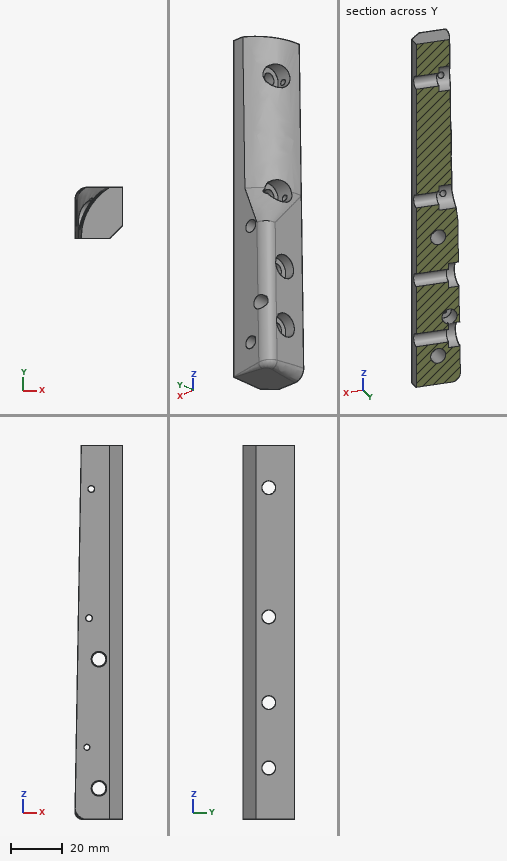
import math

import cadquery as cq

WIDTH = 18.49
DEPTH = 20.0
HEIGHT = 144.75
SLOPE = math.tan(math.radians(0.97))

BEVEL = 5.0
CORNER_RADIUS = 5.0
FOOT_RADII = (4.6, 2.9, 2.0, 0.2)

ARC_RADIUS = 23.5
BLEND_TOP = 79.3
BLEND_BOTTOM = 62.5
MARGIN = 5.0

LOWER_SCREW_HEIGHTS = (19.9, 45.2)
UPPER_SCREW_HEIGHTS = (78.4, 128.4)
SCREW_Y = DEPTH / 2
SCREW_DIAMETER = 5.2
SCREW_HEAD_DIAMETER = 10.0
LOWER_HEAD_FLOOR_X = 5.0
UPPER_HEAD_FLOOR_X = 9.0

STEPPED_HEIGHTS = (12.0, 62.0)
STEPPED_X = 9.35
STEPPED_WIDE_DIAMETER = 6.0
STEPPED_WIDE_DEPTH = 11.0
STEPPED_NARROW_DIAMETER = 5.3

SMALL_INSET = 4.2
PILOT_HEIGHTS = (77.9, 127.9)
PILOT_DIAMETER = 2.5
RECESSED_HEIGHT = 27.9
RECESSED_DIAMETER = 2.2
RECESS_DIAMETER = 6.0
RECESS_START_Y = 4.0


def face_x(z):
    """X of the leaning -X face at height z."""
    return SLOPE * z


def outside_corner(z, center_y, radius):
    """Closed outline of what lies outside an arc that rises from the -X face to the +Y face."""
    x = face_x(z)
    center_x = x + radius
    rise = DEPTH - center_y
    end_angle = math.asin(rise / radius)

    def on_arc(angle):
        return cq.Vector(center_x - radius * math.cos(angle), center_y + radius * math.sin(angle), z)

    start = on_arc(0)
    end = on_arc(end_angle)
    corner = cq.Vector(-MARGIN, DEPTH + MARGIN, z)
    return cq.Wire.assembleEdges([
        cq.Edge.makeThreePointArc(start, on_arc(end_angle / 2), end),
        cq.Edge.makeLine(end, corner),
        cq.Edge.makeLine(corner, start),
    ])


def round_foot(body):
    """Round the foot along the -X and +Y edges with a radius that fades along the way."""
    fillet = cq.occ_impl.shapes.BRepFilletAPI_MakeFillet(body.val().wrapped)
    chain = 1
    fillet.Add(body.faces("<Z").edges("<X").val().wrapped)
    for index, (start, end) in enumerate(zip(FOOT_RADII, FOOT_RADII[1:]), start=1):
        fillet.SetRadius(start, end, chain, index)
    return cq.Workplane(cq.Shape.cast(fillet.Shape()))


def make_body():
    """Bar with one leaning face, a bevelled edge, a rounded edge and a rounded foot."""
    body = (
        cq.Workplane("XZ")
        .polyline([(0, 0), (WIDTH, 0), (WIDTH, HEIGHT), (face_x(HEIGHT), HEIGHT)])
        .close()
        .extrude(-DEPTH)
    )
    body = body.faces(">X").edges("<Y").chamfer(BEVEL)
    body = body.faces(">Y").edges("<X").fillet(CORNER_RADIUS)
    return round_foot(body)


def carve_upper_half(body):
    """Cut the upper half to a large arc that blends into the rounded edge below it."""
    top = outside_corner(HEIGHT + MARGIN, 0, ARC_RADIUS)
    middle = outside_corner(BLEND_TOP, 0, ARC_RADIUS)
    bottom = outside_corner(BLEND_BOTTOM, DEPTH - CORNER_RADIUS, CORNER_RADIUS)
    upper = cq.Solid.makeLoft([middle, top], True)
    blend = cq.Solid.makeLoft([bottom, middle], True)
    return body.cut(cq.Workplane(upper)).cut(cq.Workplane(blend))


def hole_along_x(z, diameter, start, end):
    return cq.Workplane("YZ", origin=(start, SCREW_Y, z)).circle(diameter / 2).extrude(end - start)


def hole_along_y(x, z, diameter, start, end):
    return cq.Workplane("XZ", origin=(x, start, z)).circle(diameter / 2).extrude(start - end)


def drill_screw_holes(body, heights, head_floor_x):
    for z in heights:
        body = body.cut(hole_along_x(z, SCREW_DIAMETER, -MARGIN, WIDTH + MARGIN))
        body = body.cut(hole_along_x(z, SCREW_HEAD_DIAMETER, -MARGIN, head_floor_x))
    return body


def drill_stepped_holes(body):
    for z in STEPPED_HEIGHTS:
        body = body.cut(hole_along_y(STEPPED_X, z, STEPPED_NARROW_DIAMETER, 0, DEPTH))
        body = body.cut(hole_along_y(STEPPED_X, z, STEPPED_WIDE_DIAMETER, 0, STEPPED_WIDE_DEPTH))
    return body


def drill_small_holes(body):
    for z in PILOT_HEIGHTS:
        body = body.cut(hole_along_y(face_x(z) + SMALL_INSET, z, PILOT_DIAMETER, 0, DEPTH))
    x = face_x(RECESSED_HEIGHT) + SMALL_INSET
    body = body.cut(hole_along_y(x, RECESSED_HEIGHT, RECESSED_DIAMETER, 0, DEPTH))
    return body.cut(hole_along_y(x, RECESSED_HEIGHT, RECESS_DIAMETER, RECESS_START_Y, DEPTH))


result = make_body()
result = carve_upper_half(result)
result = drill_screw_holes(result, LOWER_SCREW_HEIGHTS, LOWER_HEAD_FLOOR_X)
result = drill_screw_holes(result, UPPER_SCREW_HEIGHTS, UPPER_HEAD_FLOOR_X)
result = drill_stepped_holes(result)
result = drill_small_holes(result)